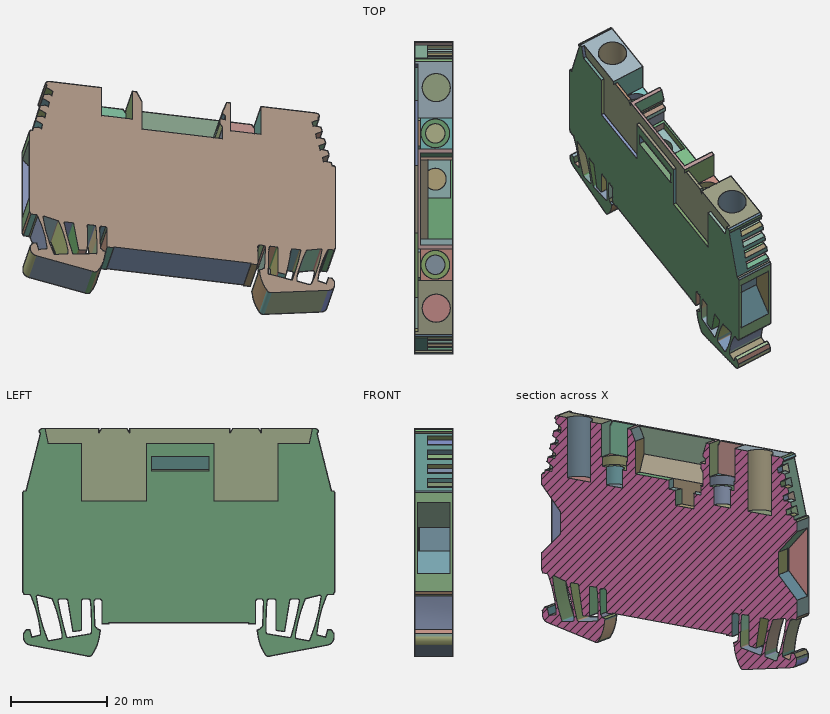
import cadquery as cq


THICKNESS = 7.9
HALF_LENGTH = 32.5
HEIGHT = 47.45
LEFT = -THICKNESS / 2
RIGHT = THICKNESS / 2

SHOULDER_Y, SHOULDER_Z = 31.8, 34.45
CREST_Y, CREST_Z = 28.8, 46.4
SHOULDER_SLOPE = (SHOULDER_Y - CREST_Y) / (CREST_Z - SHOULDER_Z)

END_FACE_BOTTOM = 12.9
CORNER = 0.3
OPENING_TOP = 11.9
OPENING_ROUND = 0.25
RAIL_SEAT_Z = 6.95
RAIL_PAD_Z = 6.75
RAIL_PAD_INNER_Y, RAIL_PAD_OUTER_Y = 14.55, 16.0

LABEL_DEPTH = 0.65
LABEL_SHELF_Z = 44.3
LABEL_TAB_Z = 32.4
LABEL_TOP_Y, LABEL_SHELF_Y = 27.8, 27.2
LABEL_TABS = [(6.7, 20.3), (-20.7, -7.35)]

INNER_WALL_X = -2.7
WELL_FLOOR_Z = 40.3
WELLS = [(10.2, 16.65), (-17.15, -10.65)]
WELL_HOLE_X = 0.3
WELL_HOLE_RADIUS, WELL_HOLE_DEPTH = 3.0, 1.95
SCREW_RADIUS, SCREW_DEPTH = 2.0, 5.85
NOTCH_WIDTH, NOTCH_DEPTH = 0.6, 1.0
ENTRY_X, ENTRY_Y = 0.5, 22.95
ENTRY_RADIUS, ENTRY_DEPTH = 2.9, 13.0

POCKET_FLOOR_Z = 38.0
POCKET_WALL_FOOT_X = -1.2
RIB_FACE_FRONT_Y, RIB_FACE_BACK_Y = -9.75, 9.35
POCKET_FRONT_Y, POCKET_BACK_Y = -8.6, 8.5
RIB_SLOPE_BOTTOM_Z = 45.05
LATCH_LIP_Z = 44.45
LATCH_GROOVE_Y = 9.1
LATCH_GROOVE_BOTTOM_Z, LATCH_GROOVE_TOP_Z = 42.95, 43.95
LATCH_NOSE_BOTTOM_Z, LATCH_NOSE_TOP_Z = 41.85, 43.0
LATCH_ROOT_Z = 40.9
BOX_END_Y = 7.9
BOX_RIGHT_X = 3.5
BOX_DEPTH = 1.95
SOCKET_X, SOCKET_Y = 0.3, 3.9
SOCKET_RADIUS, SOCKET_DEPTH = 2.3, 3.25

WINDOW_Y = (-6.3, 5.7)
WINDOW_TOP_Z, WINDOW_SILL_Z = 41.6, 38.6
WINDOW_DEPTH = 1.35
WINDOW_BACK_RISE = 0.3

GRIP_COUNT = 4
GRIP_PITCH = 2.9
GRIP_TOP_Z = 45.8
GRIP_LEFT_X = -1.3
GRIP_HEIGHT = 1.9
GRIP_ROOF_DEPTH, GRIP_ROOF_DROP = 1.4, 0.85
GRIP_BACK_DEPTH, GRIP_BACK_DROP = 1.25, 1.9
GRIP_RIDGE_DEPTH, GRIP_RIDGE_DROP = 0.6, 1.7

FUNNEL_HALF_WIDTH = 3.4
FUNNEL_DEPTH = 4.75
FUNNEL_BOTTOM_Z, FUNNEL_TOP_Z = 17.2, 32.0
THROAT_BOTTOM_Z, THROAT_TOP_Z = 22.0, 26.85
SLIT_X = (-3.2, -2.9)
SLIT_DEPTH = 1.3

OVERCUT = 0.65


def side_plane(x):
    """Sketch plane whose axes are Y and Z, at the given X."""
    return cq.Workplane("YZ", origin=(x, 0, 0))


def box(x_span, y_span, z_span):
    sizes = [high - low for low, high in (x_span, y_span, z_span)]
    return cq.Workplane("XY").box(*sizes, centered=False).translate((x_span[0], y_span[0], z_span[0]))


def vertical_hole(x, y, radius, z_top, depth):
    return cq.Workplane("XY", origin=(x, y, z_top - depth)).circle(radius).extrude(depth)


def both_ends(solid):
    return solid.union(solid.mirror("XZ"))


def half_body():
    """Body and clip foot on the +Y side of the middle."""
    outline = (
        side_plane(LEFT)
        .moveTo(0, HEIGHT)
        .lineTo(28.4, HEIGHT)
        .lineTo(28.85, 47.25)
        .lineTo(29.1, 46.8)
        .lineTo(CREST_Y, CREST_Z)
        .lineTo(SHOULDER_Y, SHOULDER_Z)
        .lineTo(HALF_LENGTH - CORNER, SHOULDER_Z)
        .lineTo(HALF_LENGTH, SHOULDER_Z - CORNER)
        .lineTo(HALF_LENGTH, END_FACE_BOTTOM + 2 * CORNER)
        .lineTo(HALF_LENGTH - CORNER, END_FACE_BOTTOM)
        .lineTo(31.0, END_FACE_BOTTOM)
        .lineTo(30.75, 12.55)
        .threePointArc((29.6, 9.2), (28.8, 5.0))
        .lineTo(28.8, 4.5)
        .lineTo(30.55, 4.0)
        .lineTo(30.95, 5.6)
        .lineTo(31.7, 5.6)
        .lineTo(32.3, 4.75)
        .lineTo(32.3, 4.1)
        .threePointArc((32.0, 3.0), (30.95, 2.35))
        .lineTo(19.05, 0.05)
        .threePointArc((18.5, 0), (17.95, 0.45))
        .threePointArc((16.85, 2.7), (16.4, 5.0))
        .lineTo(16.25, 5.45)
        .lineTo(16.9, 5.7)
        .lineTo(17.4, 6.3)
        .lineTo(17.6, 11.6)
        .lineTo(17.3, OPENING_TOP)
        .lineTo(16.3, OPENING_TOP)
        .lineTo(RAIL_PAD_OUTER_Y, 11.6)
        .lineTo(RAIL_PAD_OUTER_Y, RAIL_PAD_Z)
        .lineTo(RAIL_PAD_INNER_Y, RAIL_PAD_Z)
        .lineTo(RAIL_PAD_INNER_Y, RAIL_SEAT_Z)
        .lineTo(0, RAIL_SEAT_Z)
        .close()
    )
    return outline.extrude(THICKNESS)


def outer_foot_opening():
    """Opening between the two outer spring legs."""
    outline = (
        side_plane(LEFT)
        .moveTo(29.65, 12.8)
        .lineTo(26.3, 11.95)
        .threePointArc((25.0, 8.05), (24.3, 4.7))
        .lineTo(24.3, 3.8)
        .lineTo(27.2, 3.25)
        .threePointArc((28.7, 7.85), (29.65, 12.8))
        .close()
    )
    return outline.extrude(THICKNESS).edges("|X").fillet(OPENING_ROUND)


def inner_foot_opening():
    """U-shaped opening around the stop finger that hangs from the body."""
    outline = (
        side_plane(LEFT)
        .moveTo(25.15, OPENING_TOP)
        .lineTo(23.15, OPENING_TOP)
        .lineTo(22.05, 5.15)
        .lineTo(20.2, 5.4)
        .lineTo(20.2, OPENING_TOP)
        .lineTo(18.45, OPENING_TOP)
        .threePointArc((18.25, 10.1), (18.2, 8.1))
        .lineTo(18.2, 4.75)
        .lineTo(23.3, 3.9)
        .threePointArc((24.25, 7.5), (25.15, OPENING_TOP))
        .close()
    )
    return outline.extrude(THICKNESS).edges("|X").fillet(OPENING_ROUND)


def grip_slot(lip_z):
    """Undercut slot in the shoulder; its roof meets the sloped face at lip_z."""
    lip_y = CREST_Y + (CREST_Z - lip_z) * SHOULDER_SLOPE
    sill_y = lip_y + GRIP_HEIGHT * SHOULDER_SLOPE
    sill_z = lip_z - GRIP_HEIGHT
    outline = [
        (lip_y, lip_z),
        (lip_y - GRIP_ROOF_DEPTH, lip_z - GRIP_ROOF_DROP),
        (lip_y - GRIP_BACK_DEPTH, lip_z - GRIP_BACK_DROP),
        (lip_y - GRIP_RIDGE_DEPTH, lip_z - GRIP_RIDGE_DROP),
        (sill_y, sill_z),
        (sill_y + OVERCUT, sill_z),
        (sill_y + OVERCUT, lip_z),
    ]
    return side_plane(GRIP_LEFT_X).polyline(outline).close().extrude(RIGHT - GRIP_LEFT_X)


def wire_funnel():
    """Funnel whose roof and floor close in on the throat, with a slit in the throat's back."""
    mouth_y = HALF_LENGTH
    throat_y = HALF_LENGTH - FUNNEL_DEPTH
    outline = [
        (mouth_y, FUNNEL_BOTTOM_Z),
        (mouth_y, FUNNEL_TOP_Z),
        (throat_y, THROAT_TOP_Z),
        (throat_y, THROAT_BOTTOM_Z),
    ]
    funnel = side_plane(-FUNNEL_HALF_WIDTH).polyline(outline).close().extrude(2 * FUNNEL_HALF_WIDTH)
    slit = box(SLIT_X, (throat_y - SLIT_DEPTH, throat_y), (THROAT_BOTTOM_Z, THROAT_TOP_Z))
    return funnel.union(slit)


def label_recess():
    """Shallow recess along the top of the left side, with two deep tabs."""
    strip = [
        (-LABEL_TOP_Y, HEIGHT),
        (-LABEL_SHELF_Y, LABEL_SHELF_Z),
        (LABEL_SHELF_Y, LABEL_SHELF_Z),
        (LABEL_TOP_Y, HEIGHT),
    ]
    recess = side_plane(LEFT).polyline(strip).close().extrude(LABEL_DEPTH)
    for y_span in LABEL_TABS:
        recess = recess.union(box((LEFT, LEFT + LABEL_DEPTH), y_span, (LABEL_TAB_Z, HEIGHT)))
    return recess


def wall_notch(y, direction):
    """V-notch in the thin wall: upright at y, slanting up in the given Y direction."""
    outline = [(y, HEIGHT), (y, HEIGHT - NOTCH_DEPTH), (y + direction * NOTCH_WIDTH, HEIGHT)]
    return side_plane(LEFT).polyline(outline).close().extrude(INNER_WALL_X - LEFT)


def screw_well(y_span):
    y_low, y_high = y_span
    y_mid = (y_low + y_high) / 2
    well = box((INNER_WALL_X, RIGHT), y_span, (WELL_FLOOR_Z, HEIGHT))
    well = well.union(vertical_hole(WELL_HOLE_X, y_mid, WELL_HOLE_RADIUS, WELL_FLOOR_Z, WELL_HOLE_DEPTH))
    well = well.union(vertical_hole(WELL_HOLE_X, y_mid, SCREW_RADIUS, WELL_FLOOR_Z, SCREW_DEPTH))
    return well.union(wall_notch(y_low, 1)).union(wall_notch(y_high, -1))


def middle_pocket():
    """Pocket between the ribs, with a latch on the +Y rib and a slanted left wall."""
    outline = [
        (RIB_FACE_FRONT_Y, HEIGHT),
        (POCKET_FRONT_Y, RIB_SLOPE_BOTTOM_Z),
        (POCKET_FRONT_Y, POCKET_FLOOR_Z),
        (POCKET_BACK_Y, POCKET_FLOOR_Z),
        (POCKET_BACK_Y, LATCH_ROOT_Z),
        (BOX_END_Y, LATCH_NOSE_BOTTOM_Z),
        (BOX_END_Y, LATCH_NOSE_TOP_Z),
        (LATCH_GROOVE_Y, LATCH_GROOVE_BOTTOM_Z),
        (LATCH_GROOVE_Y, LATCH_GROOVE_TOP_Z),
        (POCKET_BACK_Y, LATCH_LIP_Z),
        (POCKET_BACK_Y, RIB_SLOPE_BOTTOM_Z),
        (RIB_FACE_BACK_Y, HEIGHT),
    ]
    pocket = side_plane(INNER_WALL_X).polyline(outline).close().extrude(RIGHT - INNER_WALL_X)
    slant = [
        (INNER_WALL_X, POCKET_FLOOR_Z),
        (INNER_WALL_X, WINDOW_TOP_Z),
        (POCKET_WALL_FOOT_X, POCKET_FLOOR_Z),
    ]
    wedge = cq.Workplane("XZ").polyline(slant).close().extrude(HALF_LENGTH, both=True)
    pocket = pocket.cut(wedge)

    box_floor_z = POCKET_FLOOR_Z - BOX_DEPTH
    box_x = (POCKET_WALL_FOOT_X, BOX_RIGHT_X)
    socket = vertical_hole(SOCKET_X, SOCKET_Y, SOCKET_RADIUS, box_floor_z, SOCKET_DEPTH)
    socket = socket.intersect(box(box_x, (0, BOX_END_Y), (0, HEIGHT)))
    pocket = pocket.union(box(box_x, (0, BOX_END_Y), (box_floor_z, POCKET_FLOOR_Z)))
    return pocket.union(socket)


def side_window():
    """Wedge-shaped window with a level sill and a slanted back."""
    y_start, y_end = WINDOW_Y
    back_x = LEFT + WINDOW_DEPTH
    outline = [
        (LEFT, WINDOW_TOP_Z),
        (back_x, WINDOW_SILL_Z + WINDOW_BACK_RISE),
        (back_x, WINDOW_SILL_Z),
        (LEFT, WINDOW_SILL_Z),
    ]
    plane = cq.Workplane("XZ", origin=(0, y_end, 0))
    return plane.polyline(outline).close().extrude(y_end - y_start)


half = half_body()
half = half.cut(outer_foot_opening()).cut(inner_foot_opening()).cut(wire_funnel())
half = half.cut(vertical_hole(ENTRY_X, ENTRY_Y, ENTRY_RADIUS, HEIGHT, ENTRY_DEPTH))
for index in range(GRIP_COUNT):
    half = half.cut(grip_slot(GRIP_TOP_Z - index * GRIP_PITCH))
body = both_ends(half)

body = body.cut(label_recess())
for well_span in WELLS:
    body = body.cut(screw_well(well_span))
body = body.cut(middle_pocket()).cut(side_window())

result = body